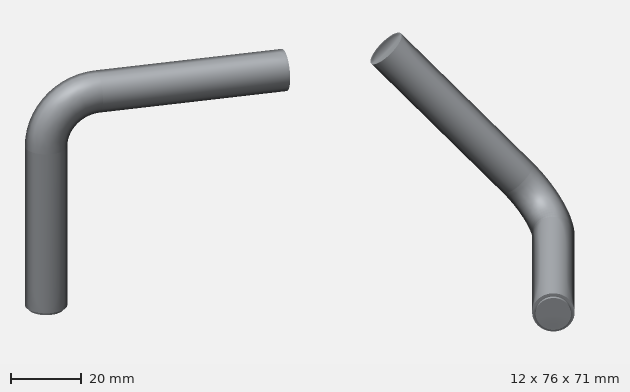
import cadquery as cq

total_length = 76.0
total_height = 71.0

bar_diameter = 12.0
bend_radius = 15.0

spigot_diameter = 10.0
spigot_height = 1.0

bar_radius = bar_diameter / 2
upright_length = total_height - bar_radius - bend_radius - spigot_height
arm_length = total_length - bar_radius - bend_radius


def bent_bar():
    """Bar rising along Z, turning a quarter circle and running on along +Y."""
    upright = cq.Workplane("XY").circle(bar_radius).extrude(upright_length)
    bend = (
        cq.Workplane("XY")
        .workplane(offset=upright_length)
        .circle(bar_radius)
        .revolve(90, (0, bend_radius, 0), (-1, bend_radius, 0))
    )
    arm = (
        cq.Workplane("XZ", origin=(0, bend_radius, upright_length + bend_radius))
        .circle(bar_radius)
        .extrude(-arm_length)
    )
    return upright.union(bend).union(arm)


def spigot():
    """Short concentric disc below the upright's lower end."""
    return cq.Workplane("XY").circle(spigot_diameter / 2).extrude(-spigot_height)


result = bent_bar().union(spigot())